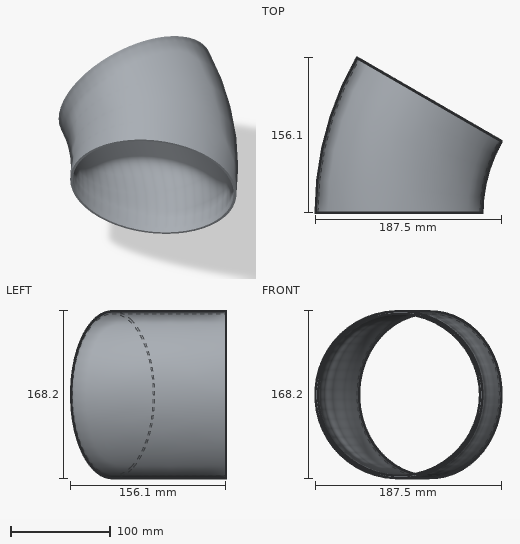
import cadquery as cq
import math

overall_length = 187.5
wall = 2.6
bend_radius = 228.0
bend_angle = 30

bend_cosine = math.cos(math.radians(bend_angle))
centreline_shift = bend_radius * (1 - bend_cosine)
outer_radius = (overall_length - centreline_shift) / (1 + bend_cosine)
inner_radius = outer_radius - wall

axis_start = (bend_radius, 0)
axis_end = (bend_radius, -1)

result = (
    cq.Workplane("XZ")
    .circle(outer_radius)
    .circle(inner_radius)
    .revolve(bend_angle, axis_start, axis_end)
)